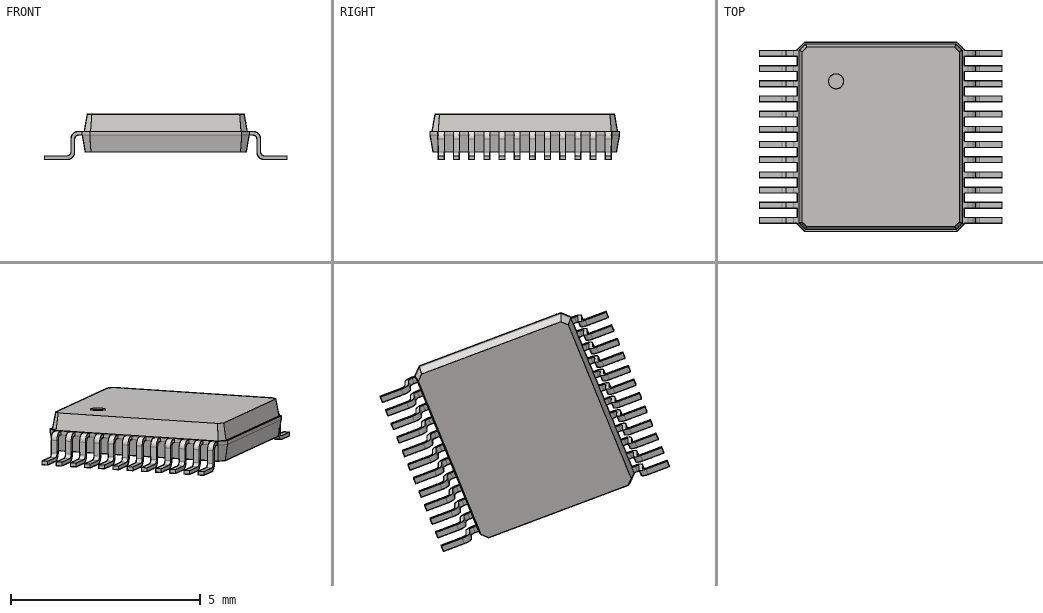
import cadquery as cq

lead_tip_span = 6.4
body_length = 5.0
total_height = 1.2

body_width = 4.4
body_standoff = 0.2
lip_bevel = 0.2
upper_block_inset = 0.05
draft_angle = 10.0

mark_diameter = 0.4
mark_depth = 0.04
mark_x = -1.18
mark_y = 1.465

leads_per_side = 12
lead_row_length = 4.4
lead_width = 0.16
lead_thickness = 0.1
lead_reach = 0.7
bend_inner_radius = 0.1
bend_outer_radius = bend_inner_radius + lead_thickness
lead_embed = 0.19
lead_pitch = lead_row_length / (leads_per_side - 1)

lip_top = 0.75
lip_bottom = lip_top - lead_thickness


def body_outline(z):
    """Lip rectangle with bevelled corners, drawn at height z."""
    half_width = body_width / 2
    half_length = body_length / 2
    corners = [
        (half_width - lip_bevel, half_length),
        (half_width, half_length - lip_bevel),
        (half_width, lip_bevel - half_length),
        (half_width - lip_bevel, -half_length),
        (lip_bevel - half_width, -half_length),
        (-half_width, lip_bevel - half_length),
        (-half_width, half_length - lip_bevel),
        (lip_bevel - half_width, half_length),
    ]
    return cq.Workplane("XY").workplane(offset=z).polyline(corners).close()


def make_body():
    lip = body_outline(lip_bottom).extrude(lead_thickness)
    lower_block = body_outline(lip_bottom).extrude(body_standoff - lip_bottom, taper=draft_angle)
    upper_block = (
        body_outline(lip_top)
        .offset2D(-upper_block_inset, "intersection")
        .extrude(total_height - lip_top, taper=draft_angle)
    )
    return lip.union(lower_block).union(upper_block)


def make_pin_one_mark():
    return (
        cq.Workplane("XY")
        .workplane(offset=total_height - mark_depth)
        .center(mark_x, mark_y)
        .circle(mark_diameter / 2)
        .extrude(mark_depth)
    )


def make_left_lead():
    """One lead on the -X side, centred on Y = 0 with its foot on Z = 0."""
    tip_x = -lead_tip_span / 2
    leg_outer_x = tip_x + lead_reach
    leg_inner_x = leg_outer_x + lead_thickness
    inner_end_x = -body_width / 2 + lead_embed
    lower_bend_x = leg_outer_x - bend_inner_radius
    lower_bend_z = bend_outer_radius
    upper_bend_x = leg_inner_x + bend_inner_radius
    upper_bend_z = lip_top - bend_outer_radius
    profile = (
        cq.Workplane("XZ")
        .moveTo(tip_x, 0)
        .lineTo(lower_bend_x, 0)
        .radiusArc((leg_inner_x, lower_bend_z), -bend_outer_radius)
        .lineTo(leg_inner_x, upper_bend_z)
        .radiusArc((upper_bend_x, lip_bottom), bend_inner_radius)
        .lineTo(inner_end_x, lip_bottom)
        .lineTo(inner_end_x, lip_top)
        .lineTo(upper_bend_x, lip_top)
        .radiusArc((leg_outer_x, upper_bend_z), -bend_outer_radius)
        .lineTo(leg_outer_x, lower_bend_z)
        .radiusArc((lower_bend_x, lead_thickness), bend_inner_radius)
        .lineTo(tip_x, lead_thickness)
        .close()
    )
    return profile.extrude(lead_width / 2, both=True)


result = make_body().cut(make_pin_one_mark())

left_lead = make_left_lead()
right_lead = left_lead.mirror("YZ")
for index in range(leads_per_side):
    lead_y = index * lead_pitch - lead_row_length / 2
    for lead in (left_lead, right_lead):
        result = result.union(lead.translate((0, lead_y, 0)))